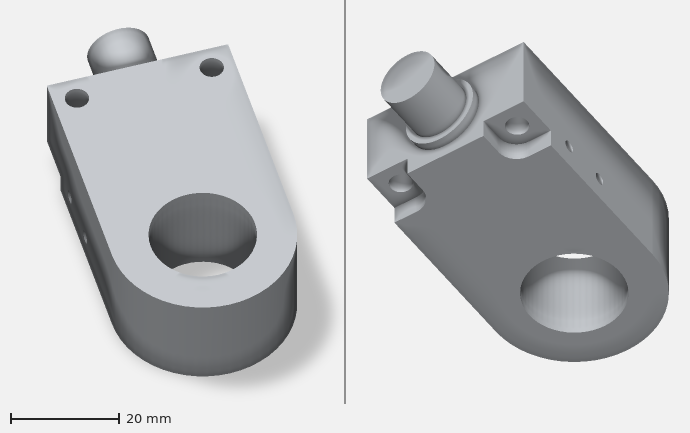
import cadquery as cq
import math

overall_length = 72.5
housing_length = 60.0
housing_width = 35.0
housing_height = 20.0
end_radius = housing_width / 2

back_x = end_radius - housing_length
front_y = -end_radius

bore_diameter = 20.1
mount_hole_diameter = 4.5
mount_hole_inset = 4.5

relief_side = 9.0
relief_height = 4.0
relief_corner_radius = 4.0

side_hole_count = 2
side_hole_diameter = 2.5
side_hole_depth = 5.0
side_hole_offset = 15.0
side_hole_spacing = 10.0
side_hole_z = 5.0
drill_point_angle = 118.0

flange_diameter = 15.0
spigot_length = 10.5
spigot_diameter = 12.0
flange_length = overall_length - housing_length - spigot_length
connector_z = housing_height / 2


def housing_block():
    """Flat block with a half-round end concentric with the bore."""
    return (
        cq.Workplane("XY")
        .moveTo(back_x, -end_radius)
        .lineTo(0, -end_radius)
        .threePointArc((end_radius, 0), (0, end_radius))
        .lineTo(back_x, end_radius)
        .close()
        .extrude(housing_height)
    )


def vertical_hole(x, y, diameter):
    """Cutter for a hole through the full housing height."""
    return cq.Workplane("XY").center(x, y).circle(diameter / 2).extrude(housing_height)


def corner_relief(side):
    """Cutter for the relief under a back corner; side is -1 for -Y or +1 for +Y."""
    edge_y = side * end_radius
    return (
        cq.Workplane("XY")
        .center(back_x + relief_side / 2, edge_y - side * relief_side / 2)
        .rect(relief_side, relief_side)
        .extrude(relief_height)
        .edges("|Z and >X")
        .edges("<Y" if side > 0 else ">Y")
        .fillet(relief_corner_radius)
    )


def side_hole(x):
    """Cutter for a blind hole with a conical drill point, running in from the -Y side."""
    radius = side_hole_diameter / 2
    point_length = radius / math.tan(math.radians(drill_point_angle / 2))
    return (
        cq.Workplane("XY", origin=(x, front_y, side_hole_z))
        .polyline([
            (0, 0),
            (radius, 0),
            (radius, side_hole_depth),
            (0, side_hole_depth + point_length),
        ])
        .close()
        .revolve(360, (0, 0), (0, 1))
    )


def make_housing():
    """Housing with its bore, mounting holes, corner reliefs and side holes."""
    body = housing_block().cut(vertical_hole(0, 0, bore_diameter))
    for side in (-1, 1):
        hole_y = side * (end_radius - mount_hole_inset)
        body = body.cut(vertical_hole(back_x + mount_hole_inset, hole_y, mount_hole_diameter))
        body = body.cut(corner_relief(side))
    for index in range(side_hole_count):
        body = body.cut(side_hole(back_x + side_hole_offset + index * side_hole_spacing))
    return body


def make_connector():
    """Stepped round connector seated on the back face of the housing."""
    flange = (
        cq.Workplane("YZ", origin=(back_x, 0, connector_z))
        .circle(flange_diameter / 2)
        .extrude(-flange_length)
    )
    spigot = (
        cq.Workplane("YZ", origin=(back_x - flange_length, 0, connector_z))
        .circle(spigot_diameter / 2)
        .extrude(-spigot_length)
    )
    return flange.union(spigot)


housing = make_housing()
connector = make_connector()

result = cq.Compound.makeCompound([housing.solids().val(), connector.solids().val()])